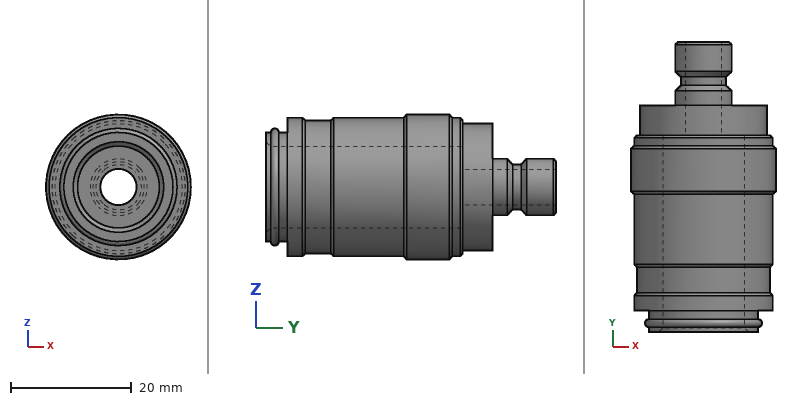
import cadquery as cq

LENGTH = 48.0
CHAMFER = 0.5

BAND_RADIUS = 12.0
BODY_RADIUS = 11.45
RELIEF_RADIUS = 11.05
SHOULDER_RADIUS = 10.5
SPIGOT_RADIUS = 9.0
STEM_RADIUS = 4.7
NECK_RADIUS = 3.75
BORE_RADIUS = 6.75
THROUGH_RADIUS = 3.0

FLANGE_START = 3.55
RELIEF_START = 6.55
RELIEF_END = 10.75
BAND_START = 22.8
BAND_END = 30.8
COLLAR_END = 32.6
SHOULDER_END = 37.5
NECK_START = 40.8
NECK_END = 42.2
NECK_CONE_LENGTH = 0.9

RING_CENTER = 1.5
RING_RADIUS = 0.65

BORE_DEPTH = COLLAR_END
MOUTH_CHAMFER = 0.7


def make_outside():
    """Solid of revolution about Y bounded by the stepped outer surface."""
    profile = (
        cq.Workplane("XY")
        .moveTo(0, 0)
        .lineTo(SPIGOT_RADIUS, 0)
        .lineTo(SPIGOT_RADIUS, RING_CENTER - RING_RADIUS)
        .threePointArc(
            (SPIGOT_RADIUS + RING_RADIUS, RING_CENTER),
            (SPIGOT_RADIUS, RING_CENTER + RING_RADIUS),
        )
        .lineTo(SPIGOT_RADIUS, FLANGE_START)
        .lineTo(BODY_RADIUS, FLANGE_START)
        .lineTo(BODY_RADIUS, RELIEF_START - CHAMFER)
        .lineTo(RELIEF_RADIUS, RELIEF_START)
        .lineTo(RELIEF_RADIUS, RELIEF_END)
        .lineTo(BODY_RADIUS, RELIEF_END + CHAMFER)
        .lineTo(BODY_RADIUS, BAND_START)
        .lineTo(BAND_RADIUS, BAND_START + CHAMFER)
        .lineTo(BAND_RADIUS, BAND_END - CHAMFER)
        .lineTo(BODY_RADIUS, BAND_END)
        .lineTo(BODY_RADIUS, COLLAR_END - CHAMFER)
        .lineTo(BODY_RADIUS - CHAMFER, COLLAR_END)
        .lineTo(SHOULDER_RADIUS, COLLAR_END)
        .lineTo(SHOULDER_RADIUS, SHOULDER_END)
        .lineTo(STEM_RADIUS, SHOULDER_END)
        .lineTo(STEM_RADIUS, NECK_START - NECK_CONE_LENGTH)
        .lineTo(NECK_RADIUS, NECK_START)
        .lineTo(NECK_RADIUS, NECK_END)
        .lineTo(STEM_RADIUS, NECK_END + NECK_CONE_LENGTH)
        .lineTo(STEM_RADIUS, LENGTH - CHAMFER)
        .lineTo(STEM_RADIUS - CHAMFER, LENGTH)
        .lineTo(0, LENGTH)
        .close()
    )
    return profile.revolve(360, (0, 0), (0, 1))


def make_bore():
    """Stepped cavity: chamfered mouth, wide bore and narrow through hole."""
    profile = (
        cq.Workplane("XY")
        .moveTo(0, 0)
        .lineTo(BORE_RADIUS + MOUTH_CHAMFER, 0)
        .lineTo(BORE_RADIUS, MOUTH_CHAMFER)
        .lineTo(BORE_RADIUS, BORE_DEPTH)
        .lineTo(THROUGH_RADIUS, BORE_DEPTH)
        .lineTo(THROUGH_RADIUS, LENGTH)
        .lineTo(0, LENGTH)
        .close()
    )
    return profile.revolve(360, (0, 0), (0, 1))


result = make_outside().cut(make_bore())